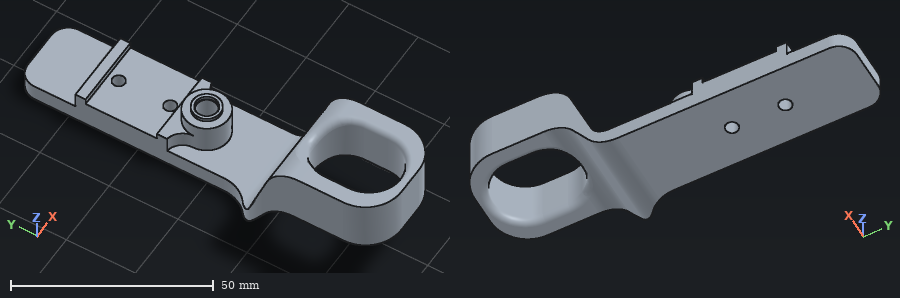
import cadquery as cq

LENGTH = 110.0
WIDTH = 29.0
HEIGHT = 30.0
BEND_RADIUS = 10.0

PLATE_WIDTH = 21.0
PLATE_THICKNESS = 5.1
PLATE_CORNER_RADIUS = 5.1
PLATE_LEFT = WIDTH - PLATE_WIDTH
PLATE_CENTER_X = PLATE_LEFT + PLATE_WIDTH / 2
FLARE_START_Y = 50.0
FLARE_END_Y = 34.1

HANDLE_THICKNESS = 15.1
HANDLE_BOTTOM = HEIGHT - HANDLE_THICKNESS
HANDLE_CORNER_RADIUS = 10.5
NECK_TOP_HIGH_Y = 30.1
NECK_TOP_LOW_Y = 39.6
NECK_TOP_LOW_RADIUS = 5.1
NECK_BOTTOM_HIGH_Y = 30.1
NECK_BOTTOM_LOW_Y = 40.5

FINGER_WIDTH = 18.0
FINGER_LENGTH = 25.1
FINGER_CENTER_Y = 15.5
FINGER_EDGE_RADIUS = 2.0

SEAT_TOP = 7.9
RIB_TOP = 9.7
SEAT_FAR_Y = 93.1
RIB_NEAR_Y = 90.1
LAND_FAR_Y = 69.4
PIN_HOLE_DIAMETER = 3.5
PIN_HOLE_YS = (72.0, 87.0)

BOSS_Y = 61.5
BOSS_RADIUS = 6.3
BOSS_TOP = 13.6
COLLAR_RADIUS = 4.0
COLLAR_TOP = 14.6
BORE_RADIUS = 2.9
BORE_MOUTH_RADIUS = 3.1
BORE_FLOOR = PLATE_THICKNESS
WEB_RADIUS = 5.1


def prism(y_min, y_max, z_min, z_max):
    """Block across the plate width."""
    size = (PLATE_WIDTH, y_max - y_min, z_max - z_min)
    block = cq.Workplane("XY").box(*size, centered=False)
    return block.translate((PLATE_LEFT, y_min, z_min))


def cylinder(radius, z_min, z_max):
    """Upright cylinder on the boss axis."""
    base = cq.Workplane("XY", origin=(PLATE_CENTER_X, BOSS_Y, z_min))
    return base.circle(radius).extrude(z_max - z_min)


def round_bend(body, y, z, radius):
    """Round the bend whose sharp edge passes through (y, z)."""
    edge = cq.selectors.NearestToPointSelector((WIDTH / 2, y, z))
    return body.edges("|X").edges(edge).fillet(radius)


def bent_strip():
    """Full-width plate, neck and handle seen as one side profile."""
    bends = [
        (NECK_BOTTOM_LOW_Y, 0, BEND_RADIUS),
        (NECK_BOTTOM_HIGH_Y, HANDLE_BOTTOM, BEND_RADIUS),
        (NECK_TOP_HIGH_Y, HEIGHT, BEND_RADIUS),
        (NECK_TOP_LOW_Y, PLATE_THICKNESS, NECK_TOP_LOW_RADIUS),
    ]
    corners = [(LENGTH, 0)]
    corners += [(y, z) for y, z, _ in bends[:2]]
    corners += [(0, HANDLE_BOTTOM), (0, HEIGHT)]
    corners += [(y, z) for y, z, _ in bends[2:]]
    corners += [(LENGTH, PLATE_THICKNESS)]
    strip = cq.Workplane("YZ").polyline(corners).close().extrude(WIDTH)
    for y, z, radius in bends:
        strip = round_bend(strip, y, z, radius)
    return strip


def plan_outline():
    """Upright prism of the plan shape, with an S-shaped flare on the left."""
    flare_middle = (PLATE_LEFT / 2, (FLARE_START_Y + FLARE_END_Y) / 2)
    outline = (
        cq.Workplane("XY")
        .moveTo(0, 0)
        .lineTo(WIDTH, 0)
        .lineTo(WIDTH, LENGTH)
        .lineTo(PLATE_LEFT, LENGTH)
        .lineTo(PLATE_LEFT, FLARE_START_Y)
        .tangentArcPoint(flare_middle, relative=False)
        .tangentArcPoint((0, FLARE_END_Y), relative=False)
        .close()
        .extrude(HEIGHT)
    )
    outline = outline.edges("|Z and <Y").fillet(HANDLE_CORNER_RADIUS)
    return outline.edges("|Z and >Y").fillet(PLATE_CORNER_RADIUS)


def cut_finger_hole(body):
    """Cut the oblong finger hole and round both of its rims."""
    slot = (
        cq.Workplane("XY", origin=(WIDTH / 2, FINGER_CENTER_Y, 0))
        .slot2D(FINGER_LENGTH, FINGER_WIDTH, 90)
        .extrude(HEIGHT)
    )
    body = body.cut(slot)
    for z in (HANDLE_BOTTOM, HEIGHT):
        rim_side = ((WIDTH - FINGER_WIDTH) / 2, FINGER_CENTER_Y, z)
        side_edge = cq.selectors.NearestToPointSelector(rim_side)
        body = body.edges(side_edge).fillet(FINGER_EDGE_RADIUS)
    return body


def seat():
    """Raised seat, its rib, and the land that narrows into the boss."""
    raised = prism(BOSS_Y, SEAT_FAR_Y, PLATE_THICKNESS, RIB_TOP)
    raised = raised.cut(prism(LAND_FAR_Y, RIB_NEAR_Y, SEAT_TOP, RIB_TOP))
    for side in (-1, 1):
        hollow_x = side * (BOSS_RADIUS + WEB_RADIUS)
        hollow = cylinder(WEB_RADIUS, PLATE_THICKNESS, RIB_TOP)
        raised = raised.cut(hollow.translate((hollow_x, 0, 0)))
    return raised


def pin_holes():
    """Two through holes along the plate centreline."""
    points = [(PLATE_CENTER_X, y) for y in PIN_HOLE_YS]
    return cq.Workplane("XY").pushPoints(points).circle(PIN_HOLE_DIAMETER / 2).extrude(HEIGHT)


handle = cut_finger_hole(bent_strip().intersect(plan_outline()))
result = (
    handle.union(seat())
    .union(cylinder(BOSS_RADIUS, PLATE_THICKNESS, BOSS_TOP))
    .union(cylinder(COLLAR_RADIUS, BOSS_TOP, COLLAR_TOP))
    .cut(cylinder(BORE_RADIUS, BORE_FLOOR, COLLAR_TOP))
    .cut(cylinder(BORE_MOUTH_RADIUS, BOSS_TOP, COLLAR_TOP))
    .cut(pin_holes())
)